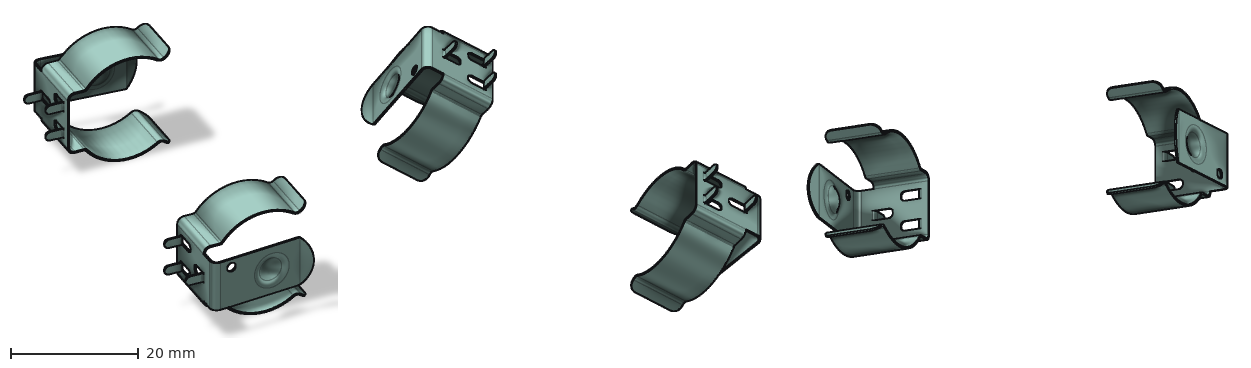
import cadquery as cq
import math


sheet = 0.3
overall_length = 65.55
overall_depth = 21.25
overall_height = 18.8
bend_radius = 0.9
mid_bend = bend_radius + sheet / 2
outer_x = -overall_length / 2
front_y = -7.6
plate_mid_y = front_y + sheet / 2

plate_height = 8.8
arm_inner_x = -19.8
arm_width = 9.6
plate_outer_x = outer_x + sheet + bend_radius

cell_y = 2.95
arm_top_z = overall_height / 2
crown_radius = 9.3
crown_center_z = arm_top_z - crown_radius
kink_radius = 0.6
crown_end_y = 8.1
lip_bend_radius = 1.0
lip_angle = 35.0
lip_corner = 1.45

blade_lean = 4.8
blade_tip_angle = 17.0
blade_crease_y = 8.05
blade_tip_y = 10.2
crease_radius = 0.2
dimple_rim_radius = 3.15
dimple_ball_radius = 3.1
dimple_angle = 41.0
sight_hole_diameter = 1.6
sight_hole_y = -4.25
sight_hole_z = -2.9

tab_width = 1.6
tab_corner = 0.7
tab_tip_y = -overall_depth / 2
tab_bend_radius = 0.25
slot_length = 3.55
side_tab_root_x = -21.1
side_tab_spacing = 4.9
middle_tab_root_x = -29.6


def heading_vector(degrees):
    return cq.Vector(math.cos(math.radians(degrees)), math.sin(math.radians(degrees)), 0)


def bent_sheet(plane, start, heading, steps, width):
    """Strip of sheet that follows mid-sheet steps, extruded to the given width.

    A step is (length,) for a straight run or (mid-sheet radius, turn in degrees, left positive).
    """
    half = sheet / 2
    point = cq.Vector(*start)
    stations = []
    first = (point, heading)
    for step in steps:
        if len(step) == 1:
            point = point + heading_vector(heading) * step[0]
            stations.append((False, point, heading, point, heading))
            continue
        radius, turn = step
        side = math.copysign(90, turn)
        center = point + heading_vector(heading + side) * radius
        middle = center + heading_vector(heading + turn / 2 - side) * radius
        point = center + heading_vector(heading + turn - side) * radius
        stations.append((True, middle, heading + turn / 2, point, heading + turn))
        heading = heading + turn

    def face_point(mid_point, direction, offset):
        moved = mid_point + heading_vector(direction + 90) * offset
        return (moved.x, moved.y)

    outline = cq.Workplane(plane).moveTo(*face_point(*first, half))
    for bend, middle, middle_heading, end, end_heading in stations:
        if bend:
            outline = outline.threePointArc(
                face_point(middle, middle_heading, half), face_point(end, end_heading, half))
        else:
            outline = outline.lineTo(*face_point(end, end_heading, half))
    outline = outline.lineTo(*face_point(point, heading, -half))
    starts = [first] + [station[3:] for station in stations[:-1]]
    for (bend, middle, middle_heading, _, _), begin in zip(reversed(stations), reversed(starts)):
        if bend:
            outline = outline.threePointArc(
                face_point(middle, middle_heading, -half), face_point(*begin, -half))
        else:
            outline = outline.lineTo(*face_point(*begin, -half))
    return outline.close().extrude(width / 2, both=True)


def upper_arm():
    """Shoulder, crown around the cell and flared lip, rising from the plate's top edge."""
    crown_mid = crown_radius - sheet / 2
    shoulder_y = plate_mid_y + mid_bend
    shoulder_z = plate_height / 2 + mid_bend
    kink_reach = crown_mid + kink_radius
    kink_angle = math.degrees(math.acos((shoulder_z + kink_radius - crown_center_z) / kink_reach))
    kink_y = cell_y - kink_reach * math.sin(math.radians(kink_angle))
    crown_end_angle = math.degrees(math.asin((crown_end_y - cell_y) / crown_radius))
    lip_rise = math.radians(lip_angle)
    lip_start_y = (
        cell_y
        + (crown_mid + lip_bend_radius) * math.sin(math.radians(crown_end_angle))
        + lip_bend_radius * math.sin(lip_rise)
    )
    lip_end_y = overall_depth / 2 - sheet / 2 * math.sin(lip_rise)
    arm = bent_sheet(
        "YZ",
        (plate_mid_y, plate_height / 2),
        90,
        [
            (mid_bend, -90),
            (kink_y - shoulder_y,),
            (kink_radius, kink_angle),
            (crown_mid, -kink_angle - crown_end_angle),
            (lip_bend_radius, crown_end_angle + lip_angle),
            ((lip_end_y - lip_start_y) / math.cos(lip_rise),),
        ],
        arm_width,
    )
    tip_zone = cq.selectors.BoxSelector(
        (-arm_width, lip_end_y - sheet, 0), (arm_width, lip_end_y + sheet, arm_top_z))
    arm = arm.edges(tip_zone).edges("#X").fillet(lip_corner)
    return arm.translate((arm_inner_x - arm_width / 2, 0, 0))


def blade_outline():
    """Side outline of the blade with its round tip, as a block to intersect with."""
    half_height = plate_height / 2
    return (
        cq.Workplane("YZ", origin=(outer_x - sheet, 0, 0))
        .moveTo(front_y, -half_height)
        .lineTo(blade_crease_y, -half_height)
        .threePointArc((blade_tip_y, 0), (blade_crease_y, half_height))
        .lineTo(front_y, half_height)
        .close()
        .extrude(arm_width)
    )


def spring_blade():
    """Leaning blade with its creased tip, contact dimple and sight hole."""
    lean = math.radians(blade_lean)
    bend_center_y = plate_mid_y + mid_bend
    blade_start_y = bend_center_y + mid_bend * math.sin(lean)
    crease_run = blade_crease_y - blade_start_y
    blade = bent_sheet(
        "XY",
        (plate_outer_x, plate_mid_y),
        180,
        [
            (mid_bend, -90 - blade_lean),
            (crease_run / math.cos(lean),),
            (crease_radius, blade_lean + blade_tip_angle),
            (blade_tip_y - blade_crease_y + sheet,),
        ],
        plate_height,
    ).intersect(blade_outline())

    blade_start_x = plate_outer_x - mid_bend * math.cos(lean)
    inward = cq.Vector(math.cos(lean), -math.sin(lean), 0)
    mid_x = blade_start_x + (cell_y - blade_start_y) * math.tan(lean)
    outer_point = cq.Vector(mid_x, cell_y, 0) - inward * (sheet / 2)
    frame = cq.Plane(origin=outer_point, xDir=(0, 0, 1), normal=inward)
    blade = blade.cut(cq.Workplane(frame).circle(dimple_rim_radius).extrude(sheet))
    blade = blade.union(dimple(outer_point, inward))

    sight_hole = (
        cq.Workplane("YZ", origin=(outer_x, sight_hole_y, sight_hole_z))
        .circle(sight_hole_diameter / 2)
        .extrude(arm_width / 2)
    )
    return blade.cut(sight_hole)


def dimple(outer_point, inward):
    """Domed shell with a flared rim, revolved about the inward direction."""
    slope = math.radians(dimple_angle)
    flare_radius = dimple_rim_radius / math.sin(slope) - dimple_ball_radius
    depth = (dimple_ball_radius + flare_radius) * (1 - math.cos(slope))
    ball_z = depth - dimple_ball_radius

    def on_ball(angle, radius):
        return (radius * math.sin(angle), ball_z + radius * math.cos(angle))

    def on_flare(angle, radius):
        return (dimple_rim_radius - radius * math.sin(angle), flare_radius - radius * math.cos(angle))

    outer_ball = dimple_ball_radius + sheet
    inner_flare = flare_radius - sheet
    across = cq.Plane(origin=outer_point, xDir=(0, 0, 1), normal=cq.Vector(0, 0, 1).cross(inward))
    return (
        cq.Workplane(across)
        .moveTo(0, depth)
        .threePointArc(on_ball(slope / 2, dimple_ball_radius), on_ball(slope, dimple_ball_radius))
        .threePointArc(on_flare(slope / 2, flare_radius), (dimple_rim_radius, 0))
        .lineTo(dimple_rim_radius, sheet)
        .threePointArc(on_flare(slope / 2, inner_flare), on_ball(slope, outer_ball))
        .threePointArc(on_ball(slope / 2, outer_ball), (0, depth + sheet))
        .close()
        .revolve(360, (0, 0, 0), (0, 1, 0))
    )


def tab_slot(root_x, direction, z):
    """Opening left in the plate by a tab; it runs from the tab root in the given X direction."""
    return (
        cq.Workplane("XY")
        .box(slot_length, sheet, tab_width)
        .edges(">X and |Y" if direction > 0 else "<X and |Y")
        .fillet(tab_corner)
        .translate((root_x + direction * slot_length / 2, plate_mid_y, z))
    )


def solder_tab(root_x, direction, z):
    """Tab bent forward out of the plate, with a round-cornered tip."""
    mid_radius = tab_bend_radius + sheet / 2
    return (
        bent_sheet(
            "XY",
            (root_x, plate_mid_y),
            0 if direction > 0 else 180,
            [
                (mid_radius, -direction * 90),
                (plate_mid_y - mid_radius - tab_tip_y,),
            ],
            tab_width,
        )
        .faces("<Y")
        .edges("|X")
        .fillet(tab_corner)
        .translate((0, 0, z))
    )


def battery_clip():
    plate_length = arm_inner_x - plate_outer_x
    clip = (
        cq.Workplane("XY")
        .box(plate_length, sheet, plate_height)
        .translate((plate_outer_x + plate_length / 2, plate_mid_y, 0))
    )
    arm = upper_arm()
    clip = clip.union(arm).union(arm.mirror("XY")).union(spring_blade())
    tabs = [
        (side_tab_root_x, -1, side_tab_spacing / 2),
        (side_tab_root_x, -1, -side_tab_spacing / 2),
        (middle_tab_root_x, 1, 0),
    ]
    for tab in tabs:
        clip = clip.cut(tab_slot(*tab)).union(solder_tab(*tab))
    return clip


left_clip = battery_clip()
clips = [left_clip.rotate((0, 0, 0), (0, 1, 0), turn).val() for turn in (0, 180)]
result = cq.Compound.makeCompound(clips)